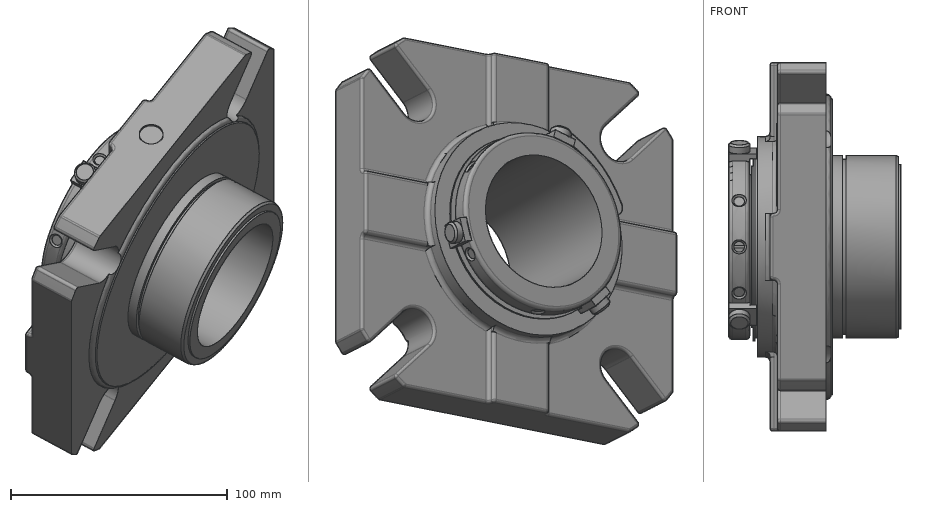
import cadquery as cq
import math

COLLAR_END = 9.8
HUB_START = 10.5
FLINGER_START = 11.3
FLINGER_END = 12.2
ARM_END = 13.0
BOSS_FACE = 13.3
RIB_FACE = 19.2
RIB_HEIGHT = 3.4
PLATE_FACE = RIB_FACE + RIB_HEIGHT
PLATE_BACK = 45.1
SPIGOT_END = 48.1
GROOVE_START = 52.7
GROOVE_END = 54.3
SLEEVE_END = 78.6
OVERALL_LENGTH = 79.63

BORE_DIA = 63.5
SHAFT_SLEEVE_DIA = 66.65
HUB_DIA = 74.6
END_LIP_DIA = 76.17
GROOVE_DIA = 81.1
SEAL_DIA = 84.12
SLEEVE_DIA = 84.45
COLLAR_DIA = 85.67
FLINGER_DIA = 87.2
BOSS_DIA = 102.0
SPIGOT_FACE_DIA = 136.53
SPIGOT_SHOULDER_DIA = 137.16
SPIGOT_DIA = 141.0

PLATE_SIDE = 170.25
CORNER_DIA = 210.0
SLOT_WIDTH = 19.0
SLOT_CENTRE = 55.2
SLOT_END_RADIUS = math.hypot(SLOT_CENTRE, SLOT_CENTRE)
DIAGONALS = (45, 135, 225, 315)
OUTLINE_RADIUS = 1.5
FACE_EDGE_RADIUS = 1.3
RIB_WIDTH = 31.0
BOSS_FILLET = 2.2
SPIGOT_CHAMFER = 0.7
SPIGOT_BULGE = 0.4
SLEEVE_CHAMFER_LENGTH = 1.3
SLEEVE_CHAMFER_HEIGHT = 0.6
COLLAR_ROUND = 1.9
GREASE_HOLE_DIA = 11.0
GREASE_HOLE_DEPTH = 1.0
GREASE_HOLE_X = 33.2

PAD_RADIUS = 57.7
PAD_WIDTH = 8.0
PAD_ANGLE = 45.0
PAD_HALF_SPAN = 21.6
PAD_HEIGHT = 0.4

FASTENER_X = COLLAR_END / 2
LUG_ANGLES = (15, 135, 255)
LUG_WIDTH = 11.2
LUG_TOP = 45.8
LUG_ROOT = 42.1
HEAD_DIA = 10.0
HEAD_TOP = 49.8
HEAD_CHAMFER = 1.0
SET_SCREW_ANGLES = (0, 60, 120, 180, 240, 300)
SLOTTED_SCREW_ANGLE = 90
SCREW_MOUTH_DIA = 6.7
SCREW_FLOOR_DIA = 4.92
SCREW_DEPTH = 1.0
DRIVER_SLOT_WIDTH = 1.0
DRIVER_SLOT_DEPTH = 0.6

TOLERANCE = 1e-4
OVERLAP = 1.0
ARC_MIDDLE = math.sin(math.radians(45))


def cylinder(start, end, diameter):
    return cq.Workplane("YZ").workplane(offset=start).circle(diameter / 2).extrude(end - start)


def turned_to(shape, angle):
    """Swing a feature built on the +Z side about the shaft axis, towards -Y."""
    return shape.rotate((0, 0, 0), (1, 0, 0), angle)


def plate_blank(front):
    """Square with corners cut to a circle and diagonal slots that open through them."""
    half = PLATE_SIDE / 2
    thickness = PLATE_BACK - front
    square = (
        cq.Workplane("YZ").workplane(offset=front)
        .rect(PLATE_SIDE, PLATE_SIDE).extrude(thickness)
    )
    blank = square.intersect(cylinder(front, PLATE_BACK, CORNER_DIA))
    for angle in DIAGONALS:
        slot = (
            cq.Workplane("YZ").workplane(offset=front)
            .center(0, SLOT_END_RADIUS).circle(SLOT_WIDTH / 2).extrude(thickness)
        )
        mouth = (
            cq.Workplane("YZ").workplane(offset=front)
            .center(0, SLOT_END_RADIUS + half / 2).rect(SLOT_WIDTH, half).extrude(thickness)
        )
        blank = blank.cut(turned_to(slot.union(mouth), angle))
    return blank


def outline_corners(blank):
    """Sharp corners of the outline, all of them outside the slot ends."""
    slot_reach = SLOT_END_RADIUS + SLOT_WIDTH
    corners = []
    for edge in blank.edges("|X").vals():
        point = edge.Center()
        if math.hypot(point.y, point.z) > slot_reach:
            corners.append(edge)
    return corners


def rib():
    """Raised band across the whole plate along Y, with S-shaped sides."""
    radius = RIB_HEIGHT / 2
    half = RIB_WIDTH / 2
    middle = RIB_FACE + radius
    bend = radius * ARC_MIDDLE
    top_bend = RIB_FACE + radius - bend
    foot_bend = PLATE_FACE - radius + bend
    return (
        cq.Workplane("XZ").workplane(offset=-PLATE_SIDE / 2)
        .moveTo(RIB_FACE, radius - half)
        .lineTo(RIB_FACE, half - radius)
        .threePointArc((top_bend, half - radius + bend), (middle, half))
        .threePointArc((foot_bend, half + radius - bend), (PLATE_FACE, half + radius))
        .lineTo(PLATE_BACK, half + radius)
        .lineTo(PLATE_BACK, -half - radius)
        .lineTo(PLATE_FACE, -half - radius)
        .threePointArc((foot_bend, bend - half - radius), (middle, -half))
        .threePointArc((top_bend, radius - half - bend), (RIB_FACE, radius - half))
        .close().extrude(PLATE_SIDE)
    )


def plate():
    blank = plate_blank(RIB_FACE)
    blank = blank.newObject(outline_corners(blank)).fillet(OUTLINE_RADIUS)
    behind = (
        cq.Workplane("YZ").workplane(offset=PLATE_FACE)
        .rect(PLATE_SIDE, PLATE_SIDE).extrude(PLATE_BACK - PLATE_FACE)
    )
    body = behind.union(rib()).union(turned_to(rib(), 90)).intersect(blank)
    walls = cq.Compound.makeCompound(blank.faces("#X").vals())
    rim = []
    for edge in body.edges("not(|X)").vals():
        point = edge.positionAt(0.5)
        on_wall = walls.distance(cq.Vertex.makeVertex(*point.toTuple())) < TOLERANCE
        if on_wall and point.x < PLATE_BACK - TOLERANCE:
            rim.append(edge)
    return body.newObject(rim).fillet(FACE_EDGE_RADIUS)


def flare(face):
    """Ring that blends the boss into a flat face at the given station."""
    inner = BOSS_DIA / 2
    outer = inner + BOSS_FILLET
    bend = BOSS_FILLET * (1 - ARC_MIDDLE)
    return (
        cq.Workplane("XY")
        .moveTo(face - BOSS_FILLET, inner)
        .threePointArc((face - bend, inner + bend), (face, outer))
        .lineTo(PLATE_BACK, outer)
        .lineTo(PLATE_BACK, inner - OVERLAP)
        .lineTo(face - BOSS_FILLET, inner - OVERLAP)
        .close().revolve(360, (0, 0, 0), (1, 0, 0))
    )


def boss():
    """Bearing boss, blended into the plate and, one step higher, into the crossing ribs."""
    reach = BOSS_DIA + 2 * BOSS_FILLET
    depth = PLATE_BACK - BOSS_FACE
    band = cq.Workplane("YZ").workplane(offset=BOSS_FACE).rect(reach, RIB_WIDTH).extrude(depth)
    rib_flare = flare(RIB_FACE).intersect(band.union(turned_to(band, 90)))
    return cylinder(BOSS_FACE, PLATE_BACK, BOSS_DIA).union(flare(PLATE_FACE)).union(rib_flare)


def spigot():
    """Locating spigot behind the plate, cleared where the slots run past it."""
    shoulder = SPIGOT_END - SPIGOT_CHAMFER
    root_radius = SPIGOT_DIA / 2
    shoulder_radius = SPIGOT_SHOULDER_DIA / 2
    crown = ((PLATE_BACK + shoulder) / 2 + SPIGOT_BULGE, (root_radius + shoulder_radius) / 2 + SPIGOT_BULGE)
    disc = (
        cq.Workplane("XY")
        .moveTo(PLATE_BACK, 0)
        .lineTo(PLATE_BACK, root_radius)
        .threePointArc(crown, (shoulder, shoulder_radius))
        .lineTo(SPIGOT_END, SPIGOT_FACE_DIA / 2)
        .lineTo(SPIGOT_END, 0)
        .close().revolve(360, (0, 0, 0), (1, 0, 0))
    )
    for angle in DIAGONALS:
        clearance = (
            cq.Workplane("YZ").workplane(offset=PLATE_BACK)
            .center(0, SLOT_END_RADIUS).circle(SLOT_WIDTH / 2).extrude(SPIGOT_END - PLATE_BACK)
        )
        disc = disc.cut(turned_to(clearance, angle))
    return disc


def rear_sleeve():
    front_land = cylinder(PLATE_BACK, GROOVE_START, SLEEVE_DIA)
    groove = cylinder(GROOVE_START, GROOVE_END, GROOVE_DIA)
    rear_land = cylinder(GROOVE_END, SLEEVE_END, SLEEVE_DIA)
    rear_land = rear_land.faces(">X").edges().chamfer(SLEEVE_CHAMFER_LENGTH, SLEEVE_CHAMFER_HEIGHT)
    lip = cylinder(SLEEVE_END, OVERALL_LENGTH, END_LIP_DIA)
    return front_land.union(groove).union(rear_land).union(lip)


def seal_and_flinger():
    sleeve = cylinder(0, BOSS_FACE, SHAFT_SLEEVE_DIA)
    hub = cylinder(HUB_START, BOSS_FACE, HUB_DIA)
    flinger = cylinder(FLINGER_START, FLINGER_END, FLINGER_DIA)
    seal = cylinder(FLINGER_END, BOSS_FACE, SEAL_DIA)
    return sleeve.union(hub).union(flinger).union(seal)


def lug(angle):
    """Block on the collar with an arm over the flinger, carrying a round cap-screw head."""
    arm_root = FLINGER_DIA / 2
    block = (
        cq.Workplane("XY").workplane(offset=LUG_ROOT)
        .center(COLLAR_END / 2, 0).rect(COLLAR_END, LUG_WIDTH).extrude(LUG_TOP - LUG_ROOT)
    )
    arm = (
        cq.Workplane("XY").workplane(offset=arm_root)
        .center(ARM_END / 2, 0).rect(ARM_END, LUG_WIDTH).extrude(LUG_TOP - arm_root)
    )
    head = (
        cq.Workplane("XY").workplane(offset=LUG_ROOT)
        .center(HEAD_DIA / 2, 0).circle(HEAD_DIA / 2).extrude(HEAD_TOP - LUG_ROOT)
        .faces(">Z").edges().chamfer(HEAD_CHAMFER)
    )
    return turned_to(block.union(arm).union(head), angle)


def screw_pocket(angle):
    """Conical mouth of a set screw, ending on the flat screw face."""
    surface = COLLAR_DIA / 2
    taper = (SCREW_MOUTH_DIA - SCREW_FLOOR_DIA) / 2
    mouth_radius = SCREW_MOUTH_DIA / 2
    profile = (
        cq.Workplane("XZ")
        .moveTo(0, surface - SCREW_DEPTH)
        .lineTo(mouth_radius - taper, surface - SCREW_DEPTH)
        .lineTo(mouth_radius, surface)
        .lineTo(mouth_radius, surface + OVERLAP)
        .lineTo(0, surface + OVERLAP)
        .close()
    )
    cone = profile.revolve(360, (0, 0, 0), (0, 1, 0))
    return turned_to(cone.translate((FASTENER_X, 0, 0)), angle)


def driver_slot(angle):
    floor = COLLAR_DIA / 2 - SCREW_DEPTH - DRIVER_SLOT_DEPTH
    slot = (
        cq.Workplane("XY").workplane(offset=floor)
        .center(FASTENER_X, 0).rect(SCREW_FLOOR_DIA, DRIVER_SLOT_WIDTH).extrude(2 * DRIVER_SLOT_DEPTH)
    )
    return turned_to(slot, angle)


def collar():
    body = cylinder(0, COLLAR_END, COLLAR_DIA)
    body = body.faces("<X or >X").edges().fillet(COLLAR_ROUND)
    for angle in SET_SCREW_ANGLES + (SLOTTED_SCREW_ANGLE,):
        body = body.cut(screw_pocket(angle))
    body = body.cut(driver_slot(SLOTTED_SCREW_ANGLE))
    for angle in LUG_ANGLES:
        body = body.union(lug(angle))
    return body


def name_pad():
    """Low curved pad on the plate face, following the boss."""
    def point(radius, angle):
        turn = math.radians(angle)
        return (-radius * math.sin(turn), radius * math.cos(turn))

    half = PAD_WIDTH / 2
    start = PAD_ANGLE - PAD_HALF_SPAN
    end = PAD_ANGLE + PAD_HALF_SPAN
    cap = math.degrees(half / PAD_RADIUS)
    return (
        cq.Workplane("YZ").workplane(offset=PLATE_FACE - PAD_HEIGHT)
        .moveTo(*point(PAD_RADIUS - half, start))
        .threePointArc(point(PAD_RADIUS - half, PAD_ANGLE), point(PAD_RADIUS - half, end))
        .threePointArc(point(PAD_RADIUS, end + cap), point(PAD_RADIUS + half, end))
        .threePointArc(point(PAD_RADIUS + half, PAD_ANGLE), point(PAD_RADIUS + half, start))
        .threePointArc(point(PAD_RADIUS, start - cap), point(PAD_RADIUS - half, start))
        .close().extrude(2 * PAD_HEIGHT)
    )


def grease_hole():
    """Shallow round recess in the top side of the plate."""
    return (
        cq.Workplane("XY").workplane(offset=PLATE_SIDE / 2 - GREASE_HOLE_DEPTH)
        .center(GREASE_HOLE_X, 0).circle(GREASE_HOLE_DIA / 2).extrude(2 * GREASE_HOLE_DEPTH)
    )


result = plate()
for feature in (boss(), spigot(), rear_sleeve(), seal_and_flinger(), collar(), name_pad()):
    result = result.union(feature)
result = result.cut(grease_hole()).cut(cylinder(0, OVERALL_LENGTH, BORE_DIA))